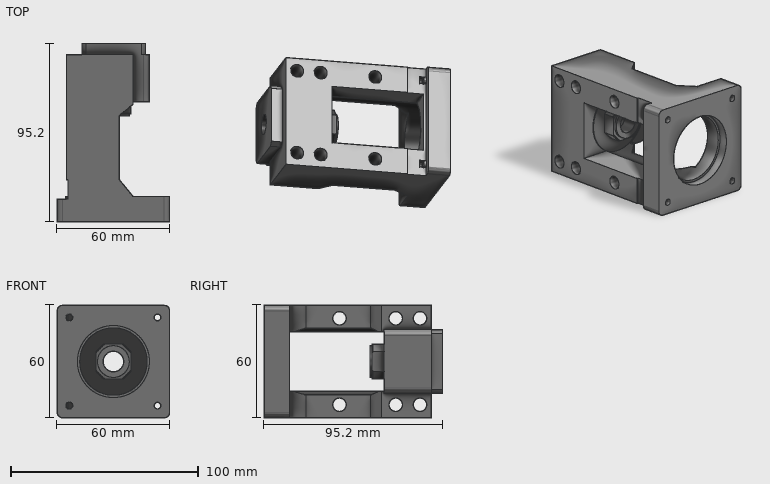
import cadquery as cq

LENGTH = 95.15
FLANGE_SIDE = 60.0
HALF_SIDE = FLANGE_SIDE / 2

FLANGE_THICKNESS = 13.5
FLANGE_EDGE_THICKNESS = 12.1
RELIEF_END = 22.4
NOTCH_START = 56.7
NOTCH_END = 62.6
BLOCK_DEPTH = 25.2
CAP_THICKNESS = 6.0
BLOCK_BACK = LENGTH - CAP_THICKNESS
BLOCK_FRONT = BLOCK_BACK - BLOCK_DEPTH

BASE_X = -25.0
RELIEF_X = -24.3
WEB_X = 3.2
SHOULDER_X = 10.6

FLANGE_CORNER_RADIUS = 2.95
PILOT_RADIUS = 19.2
PILOT_DEPTH = 5.0
BORE_RADIUS = 18.0
SEAT_DEPTH = 0.6
BORE_END = BLOCK_FRONT + SEAT_DEPTH
SCREW_OFFSET = 23.5
SCREW_HOLE_RADIUS = 1.7
SCREW_BOSS_RADIUS = 2.1
SCREW_POCKET_END = 15.7

BLOCK_TOP_X = 19.1
BLOCK_HALF_WIDTH = 17.0
BLOCK_CORNER_RADIUS = 3.0
CAP_CORNER_CHAMFER = 2.2
CAP_CENTER_X = 0.2

WINDOW_HALF_WIDTH = 15.8
MOUNT_HOLE_RADIUS = 3.5
MOUNT_HOLE_Z = 23.0
MOUNT_HOLE_STATIONS = [40.2, 70.1, 83.1]

SHAFT_BORE_RADIUS = 5.4
NUT_HALF_WIDTH = 9.3
NUT_CORNER_CHAMFER = 4.0
NUT_FRONT = 57.6
NUT_EDGE_CHAMFER = 0.5
COLLAR_RADIUS = 8.5
COLLAR_FRONT = 56.3


def box(x_range, y_range, z_half):
    """Box between two X and two Y stations, symmetric about Z = 0."""
    x_size = x_range[1] - x_range[0]
    y_size = y_range[1] - y_range[0]
    return (
        cq.Workplane("XY")
        .box(x_size, y_size, 2 * z_half, centered=(False, False, True))
        .translate((x_range[0], y_range[0], 0))
    )


def rod(radius, y_start, y_end, x=0.0, z=0.0):
    """Cylinder along Y between two stations."""
    return cq.Workplane(
        cq.Solid.makeCylinder(radius, y_end - y_start, cq.Vector(x, y_start, z), cq.Vector(0, 1, 0))
    )


def make_flange():
    flange = box((-HALF_SIDE, HALF_SIDE), (0, FLANGE_THICKNESS), HALF_SIDE)
    flange = flange.edges("|Y").fillet(FLANGE_CORNER_RADIUS)
    thin_edge = box((-HALF_SIDE, RELIEF_X), (FLANGE_EDGE_THICKNESS, FLANGE_THICKNESS), HALF_SIDE)
    return flange.cut(thin_edge)


def make_side_walls():
    outline = [
        (RELIEF_X, FLANGE_EDGE_THICKNESS),
        (RELIEF_X, RELIEF_END),
        (BASE_X, RELIEF_END),
        (BASE_X, BLOCK_BACK),
        (SHOULDER_X, BLOCK_BACK),
        (SHOULDER_X, NOTCH_END),
        (WEB_X, NOTCH_START),
        (WEB_X, RELIEF_END),
        (SHOULDER_X, FLANGE_THICKNESS),
        (SHOULDER_X, FLANGE_EDGE_THICKNESS),
    ]
    walls = cq.Workplane("XY").polyline(outline).close().extrude(HALF_SIDE, both=True)
    window = box((BASE_X, SHOULDER_X), (FLANGE_THICKNESS, BLOCK_FRONT), WINDOW_HALF_WIDTH)
    return walls.cut(window)


def make_bearing_block():
    block = (
        box((BASE_X, BLOCK_TOP_X), (BLOCK_FRONT, BLOCK_BACK), BLOCK_HALF_WIDTH)
        .edges("|Y and >X")
        .fillet(BLOCK_CORNER_RADIUS)
    )
    cap_sides = (CAP_CENTER_X - BLOCK_HALF_WIDTH, CAP_CENTER_X + BLOCK_HALF_WIDTH)
    cap = (
        box(cap_sides, (BLOCK_BACK, LENGTH), BLOCK_HALF_WIDTH)
        .edges("|Y")
        .chamfer(CAP_CORNER_CHAMFER)
    )
    return block.union(cap)


def make_bracket():
    bracket = make_flange().union(make_side_walls()).union(make_bearing_block()).clean()

    bracket = bracket.cut(rod(PILOT_RADIUS, 0, PILOT_DEPTH))
    bracket = bracket.cut(rod(BORE_RADIUS, 0, BORE_END))
    bracket = bracket.cut(rod(SHAFT_BORE_RADIUS, BORE_END, LENGTH))

    for z in (-SCREW_OFFSET, SCREW_OFFSET):
        boss = rod(SCREW_BOSS_RADIUS, FLANGE_EDGE_THICKNESS, FLANGE_THICKNESS, -SCREW_OFFSET, z)
        pocket = rod(SCREW_BOSS_RADIUS, FLANGE_THICKNESS, SCREW_POCKET_END, -SCREW_OFFSET, z)
        bracket = bracket.union(boss).cut(pocket)
        for x in (-SCREW_OFFSET, SCREW_OFFSET):
            bracket = bracket.cut(rod(SCREW_HOLE_RADIUS, 0, FLANGE_THICKNESS, x, z))

    for y in MOUNT_HOLE_STATIONS:
        for z in (-MOUNT_HOLE_Z, MOUNT_HOLE_Z):
            hole = cq.Solid.makeCylinder(
                MOUNT_HOLE_RADIUS, SHOULDER_X - BASE_X, cq.Vector(BASE_X, y, z), cq.Vector(1, 0, 0)
            )
            bracket = bracket.cut(cq.Workplane(hole))
    return bracket


def make_lock_nut():
    nut = (
        box((-NUT_HALF_WIDTH, NUT_HALF_WIDTH), (NUT_FRONT, BORE_END), NUT_HALF_WIDTH)
        .edges("|Y")
        .chamfer(NUT_CORNER_CHAMFER)
    )
    diagonal_edges = nut.faces("<Y").edges("not(|X or |Z)")
    nut = diagonal_edges.chamfer(NUT_EDGE_CHAMFER)

    nut = nut.union(rod(COLLAR_RADIUS, COLLAR_FRONT, NUT_FRONT))
    return nut.cut(rod(SHAFT_BORE_RADIUS, COLLAR_FRONT, BORE_END))


bracket = make_bracket()
lock_nut = make_lock_nut()
result = cq.Compound.makeCompound([bracket.val(), lock_nut.val()])